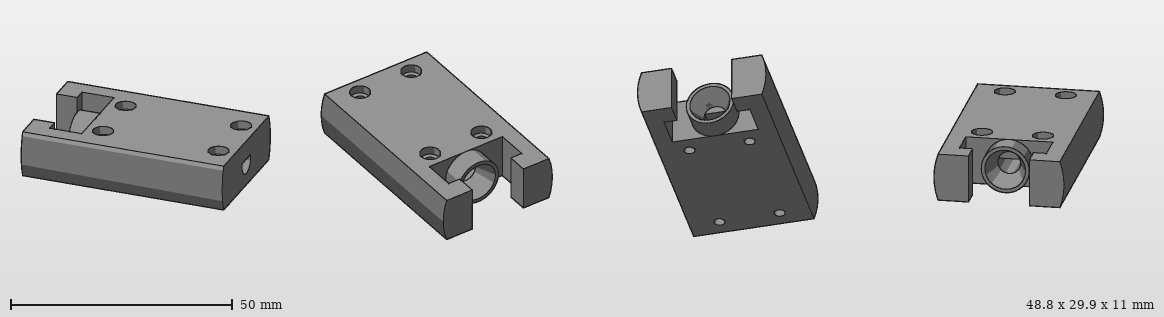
import cadquery as cq

length = 48.75
width = 29.9
height = 11.0
flat_width = 28.0

hole_edge_margin = 4.0
hole_spacing_x = 28.0
hole_spacing_y = 14.0
body_length = hole_spacing_x + 2 * hole_edge_margin
body_front = length - body_length
fork_gap = 20.0
jaw_gap = 14.0
jaw_length = 5.0

collar_diameter = height
collar_length = 5.0
collar_front = body_front - collar_length
funnel_diameter = 9.3
funnel_depth = collar_length
passage_diameter = 5.2
passage_ceiling = 0.95

screw_diameter = 2.5
head_diameter = 4.75
head_depth = 2.0


def bulged_slab():
    """Full-length slab whose two long sides are convex arcs."""
    return (
        cq.Workplane("YZ")
        .moveTo(-flat_width / 2, -height / 2)
        .lineTo(flat_width / 2, -height / 2)
        .threePointArc((width / 2, 0), (flat_width / 2, height / 2))
        .lineTo(-flat_width / 2, height / 2)
        .threePointArc((-width / 2, 0), (-flat_width / 2, -height / 2))
        .close()
        .extrude(length)
    )


def full_height_slot(start, end, slot_width):
    """Centred rectangular cutter reaching through the whole height."""
    return cq.Workplane("XY").box(
        end - start, slot_width, height, centered=(False, True, True)
    ).translate((start, 0, 0))


def rod(start, end, diameter):
    """Cylinder along the X axis."""
    return cq.Workplane("YZ").workplane(offset=start).circle(diameter / 2).extrude(end - start)


def funnel():
    """Tapered mouth narrowing from the collar's front to the passage."""
    return (
        cq.Workplane("XY")
        .moveTo(collar_front, 0)
        .lineTo(collar_front, funnel_diameter / 2)
        .lineTo(collar_front + funnel_depth, passage_diameter / 2)
        .lineTo(collar_front + funnel_depth, 0)
        .close()
        .revolve(360, (0, 0, 0), (1, 0, 0))
    )


def rear_passage():
    """Round passage through the body with a flat roof."""
    below_roof = cq.Workplane("XY").box(
        body_length, passage_diameter, height, centered=(False, True, False)
    ).translate((body_front, 0, passage_ceiling - height))
    return rod(body_front, length, passage_diameter).intersect(below_roof)


result = bulged_slab()
result = result.cut(full_height_slot(0, jaw_length, jaw_gap))
result = result.cut(full_height_slot(jaw_length, body_front, fork_gap))

result = result.union(rod(collar_front, body_front, collar_diameter))
result = result.cut(funnel()).cut(rear_passage())

result = (
    result.faces(">Z").workplane(origin=(body_front + body_length / 2, 0, 0))
    .rarray(hole_spacing_x, hole_spacing_y, 2, 2)
    .cboreHole(screw_diameter, head_diameter, head_depth)
)